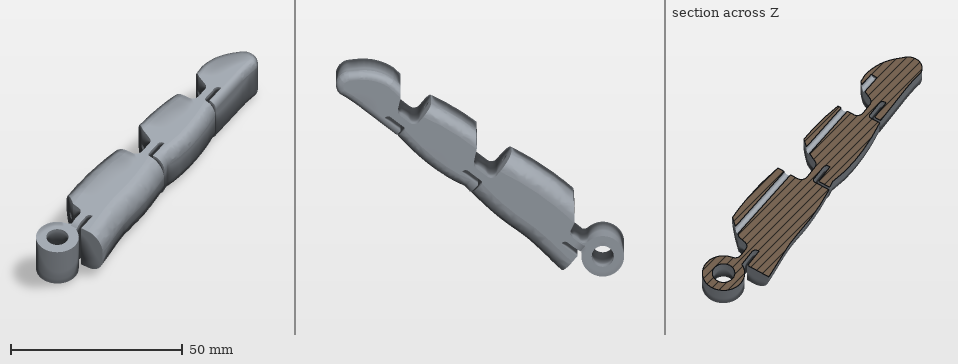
import cadquery as cq


overall_length = 100.6
finger_height = 15.0
ring_height = 13.0

ring_radius = 6.2
bore_diameter = 6.4
ring_web_fillet = 2.0

rounding_aspect = 0.86
proximal_rounding_height = 6.0
middle_rounding_height = 4.0
distal_rounding_height = 2.5

proximal_start = 6.0
middle_start = 42.4
distal_start = 70.3
finger_tip = overall_length - ring_radius

web_thickness = 2.1
slot_width = 1.5
slit_width = 0.7
notch_corner = 2.0
slot_corner = 1.2
slit_corner = 0.8
steep_slope = 0.88
clear_x = 20.1

ring_joint = dict(web_x=0.7, bend=(-3.2, 13.1), slope=0.22, notch_bottom=-1.0, slot_top=12.1,
                  segment_start=proximal_start)
lower_joint = dict(web_x=1.6, bend=(-3.3, 49.7), slope=0.51, notch_bottom=40.0, slot_top=48.5,
                   segment_start=middle_start)
upper_joint = dict(web_x=2.8, bend=(-1.7, 76.9), slope=0.5, notch_bottom=67.9, slot_top=76.5,
                   segment_start=distal_start)

web_step_start = 8.8

channel_diameter = 2.0
channel_start = (-5.6, proximal_start)
channel_end = (-1.6, 82.5)


def centred_extrude(outline, height):
    """Extrude an XY outline by equal amounts above and below Z = 0."""
    return outline.extrude(height).translate((0, 0, -height / 2))


def proximal_outline():
    return (
        cq.Workplane("XY")
        .moveTo(11.9, proximal_start)
        .spline(
            [(11.1, 13.6), (10.5, 20.1), (10.7, 27.7), (10.4, 35.2), (9.5, middle_start)],
            includeCurrent=True,
        )
        .lineTo(-6.7, middle_start)
        .spline([(-8.2, 34.3), (-8.9, 24.7), (-7.1, proximal_start)], includeCurrent=True)
        .close()
    )


def middle_outline():
    return (
        cq.Workplane("XY")
        .moveTo(9.3, middle_start)
        .lineTo(8.9, 44.7)
        .spline([(9.5, 47.4), (10.2, 58.9), (9.8, 63.9), (8.8, distal_start)], includeCurrent=True)
        .lineTo(-4.0, distal_start)
        .spline([(-6.0, 60.1), (-6.5, 52.5), (-6.2, middle_start)], includeCurrent=True)
        .close()
    )


def distal_outline():
    return (
        cq.Workplane("XY")
        .moveTo(8.7, distal_start)
        .lineTo(8.7, 84.3)
        .tangentArcPoint((9.2, 91.2), relative=False)
        .threePointArc((8.1, 93.3), (5.0, finger_tip))
        .threePointArc((3.5, 94.1), (2.2, 93.2))
        .lineTo(0.2, 91.2)
        .spline([(-2.6, 87.2), (-4.1, 81.5)], includeCurrent=True)
        .lineTo(-3.1, distal_start)
        .close()
    )


def scale_z(body, factor):
    """Scale a body along Z only, which turns round edges into elliptical ones."""
    matrix = cq.Matrix([[1, 0, 0, 0], [0, 1, 0, 0], [0, 0, factor, 0]])
    return cq.Workplane(body.val().transformGeometry(matrix))


def rounded_segment(outline, rounding_height, long_edges):
    """Extrude an outline and round its long edges, leaving its flat ends sharp."""
    reduced_height = finger_height * rounding_aspect
    body = centred_extrude(outline, reduced_height)
    body = body.faces("|Z").edges(long_edges).fillet(rounding_height * rounding_aspect)
    return scale_z(body, 1 / rounding_aspect)


def prism(points):
    return centred_extrude(cq.Workplane("XY").polyline(points).close(), 2 * finger_height)


def palm_notch(joint):
    """Open notch on the palm side, with a two-slope upper face and rounded web corners."""
    web_x = joint["web_x"]
    bend_x, bend_y = joint["bend"]
    upper_corner = bend_y - joint["slope"] * (web_x - bend_x)
    outer_y = bend_y + steep_slope * (bend_x + clear_x)
    notch = prism([
        (-clear_x, joint["notch_bottom"]),
        (web_x, joint["notch_bottom"]),
        (web_x, upper_corner),
        (bend_x, bend_y),
        (-clear_x, outer_y),
    ])
    return notch.edges("|Z and >X").fillet(notch_corner)


def knuckle_slot(joint):
    """Slot beside the web that turns outward as a thin slit below the segment above."""
    inner_x = joint["web_x"] + web_thickness
    outer_x = inner_x + slot_width
    slit_top = joint["segment_start"]
    slit_bottom = slit_top - slit_width
    slot = prism([
        (inner_x, slit_bottom),
        (clear_x, slit_bottom),
        (clear_x, slit_top),
        (outer_x, slit_top),
        (outer_x, joint["slot_top"]),
        (inner_x, joint["slot_top"]),
    ])
    slot = slot.edges("|Z and <X").edges(">Y").fillet(slot_corner)
    return slot.edges("|Z and <X").edges("<Y").fillet(slit_corner)


def web_step():
    """Convex rounding that lowers the ring web to the ring height, above and below."""
    drop = (finger_height - ring_height) / 2
    length = web_step_start - proximal_start
    radius = (length**2 + drop**2) / (2 * drop)
    web_x = ring_joint["web_x"]
    middle_y = web_step_start - length / 2
    middle_z = finger_height / 2 - radius + (radius**2 - (length / 2) ** 2) ** 0.5
    upper = (
        cq.Workplane("YZ", origin=(web_x, 0, 0))
        .moveTo(web_step_start, finger_height / 2)
        .threePointArc((middle_y, middle_z), (proximal_start, ring_height / 2))
        .lineTo(proximal_start, finger_height / 2)
        .close()
        .extrude(web_thickness)
    )
    return upper.union(upper.mirror("XY"))


def pivot_ring():
    """Ring with the lower end of its web, blended on the palm side."""
    web_x = ring_joint["web_x"]
    ring = centred_extrude(cq.Workplane("XY").circle(ring_radius), ring_height)
    web = cq.Workplane("XY").box(web_thickness, web_step_start, ring_height, centered=(False, False, True))
    ring = ring.union(web.translate((web_x, 0, 0)))
    corner_y = (ring_radius**2 - web_x**2) ** 0.5
    corner = cq.selectors.NearestToPointSelector((web_x, corner_y, 0))
    ring = ring.edges("|Z").edges(corner).fillet(ring_web_fillet)
    bore = centred_extrude(cq.Workplane("XY").circle(bore_diameter / 2), ring_height)
    return ring.cut(bore)


def tendon_channel():
    """Straight blind channel through the palm side of all segments."""
    start = cq.Vector(*channel_start, 0)
    direction = cq.Vector(*channel_end, 0) - start
    return cq.Workplane(cq.Solid.makeCylinder(channel_diameter / 2, direction.Length, start, direction))


between_ends = "not(<Y or >Y)"
proximal = rounded_segment(proximal_outline(), proximal_rounding_height, between_ends)
middle = rounded_segment(middle_outline(), middle_rounding_height, between_ends)
distal = rounded_segment(distal_outline(), distal_rounding_height, "not <Y")

finger = proximal.union(middle).union(distal)
for joint in (ring_joint, lower_joint, upper_joint):
    finger = finger.cut(palm_notch(joint)).cut(knuckle_slot(joint))
finger = finger.cut(web_step()).cut(tendon_channel())

result = finger.union(pivot_ring())